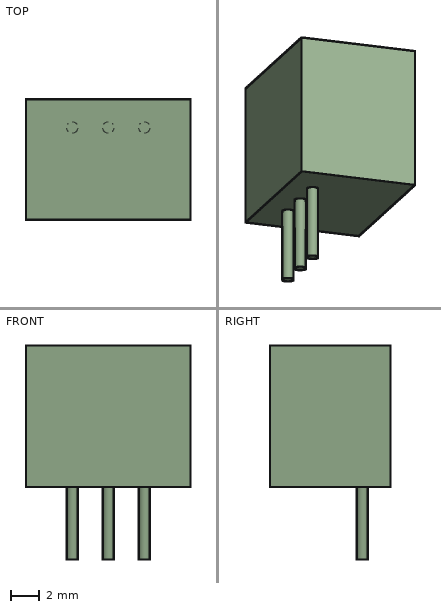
import cadquery as cq

case_length = 11.6
case_width = 8.5
case_height = 10.0

overall_height = 15.1
pin_diameter = 0.8
pin_length = overall_height - case_height
pin_count = 3
pin_pitch = 2.54
pin_row_to_back = 2.0
pin_row_y = case_width / 2 - pin_row_to_back


def make_case():
    return cq.Workplane("XY").box(case_length, case_width, case_height, centered=(True, True, False))


def make_pin(x):
    """One pin hanging from the underside of the case."""
    return cq.Workplane("XY").center(x, pin_row_y).circle(pin_diameter / 2).extrude(-pin_length)


case = make_case()

first_pin_x = -pin_pitch * (pin_count - 1) / 2
pins = [make_pin(first_pin_x + i * pin_pitch) for i in range(pin_count)]

result = cq.Compound.makeCompound([case.val(), *[pin.val() for pin in pins]])